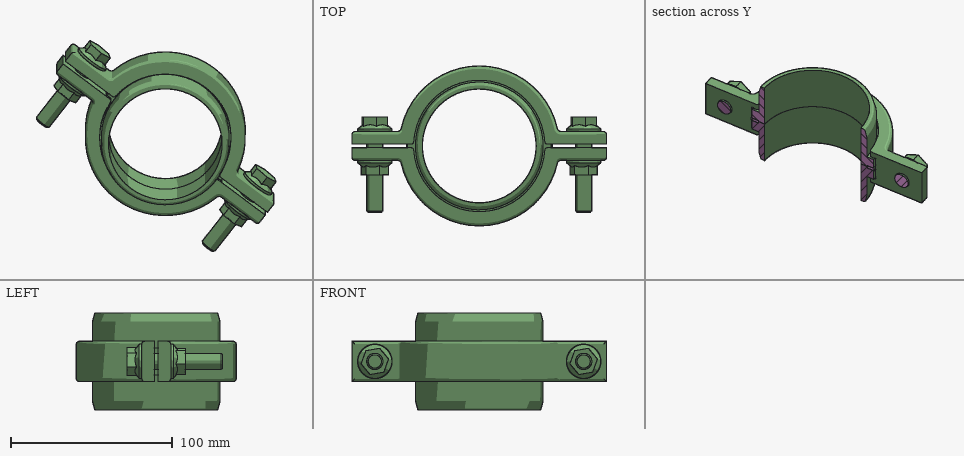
import cadquery as cq
import math


pipe_radius = 39.5
bore_radius = 35.0
stub_length = 30.0
taper_length = 5.5
taper_angle = 15
end_round = 1.1
flange_radius = 44.3
flange_thickness = 8.3

seal_radius = 45.1
seal_thickness = 2.5
seal_rim_round = 0.8

clamp_length = 157.3
clamp_diameter = 98.9
clamp_height = 25.0
clamp_bore_radius = 40.5
clamp_edge_round = 2.0
half_gap = 1.1
ear_thickness = 7.9
ear_corner_radius = 2.4
lip_round = 1.5

bolt_x = 64.5
shank_radius = 5.0
shank_end = 41.0
shank_chamfer = 1.0
hex_flats = 15.0
hex_end = 18.0
head_turn = 23
nut_turn = 10
collar_base_radius = 10.4
collar_rim_radius = 10.7
collar_rim_rise = 1.0
collar_cone_radius = 10.5
collar_cone_rise = 1.5
collar_cone_angle = 40

clamp_radius = clamp_diameter / 2
ear_outer_y = half_gap + ear_thickness
hex_corner_diameter = hex_flats / math.cos(math.radians(30))
hex_inner_radius = hex_flats / 2


def make_seal():
    """Flat ring with a rounded rim, centred on the joint between the stubs."""
    disc = cq.Workplane("XY").circle(seal_radius).extrude(seal_thickness / 2, both=True)
    hole = cq.Workplane("XY").circle(pipe_radius).extrude(seal_thickness, both=True)
    return disc.faces("|Z").edges().fillet(seal_rim_round).cut(hole)


def make_upper_stub(seal):
    """Pipe end with a flange at z = 0 and a tapered, rounded mouth at the top."""
    mouth_radius = pipe_radius - taper_length * math.tan(math.radians(taper_angle))
    blank = (
        cq.Workplane("XZ")
        .moveTo(0, 0)
        .lineTo(flange_radius, 0)
        .lineTo(flange_radius, flange_thickness)
        .lineTo(pipe_radius, flange_thickness)
        .lineTo(pipe_radius, stub_length - taper_length)
        .lineTo(mouth_radius, stub_length)
        .lineTo(0, stub_length)
        .close()
        .revolve(360, (0, 0), (0, 1))
        .faces(">Z")
        .edges()
        .fillet(end_round)
    )
    bore = cq.Workplane("XY").circle(bore_radius).extrude(stub_length)
    return blank.cut(bore).cut(seal)


def make_clamp_blank():
    """Solid half disc with two ears, its outer edges rounded, on the +Y side."""
    ear_end = clamp_length / 2
    corner_y = ear_outer_y + ear_corner_radius
    corner_distance = clamp_radius + ear_corner_radius
    corner_x = math.sqrt(corner_distance**2 - corner_y**2)
    tangent_x = corner_x * clamp_radius / corner_distance
    tangent_y = corner_y * clamp_radius / corner_distance
    half_turn = (math.atan2(corner_y, corner_x) + math.pi / 2) / 2
    middle_x = corner_x - ear_corner_radius * math.cos(half_turn)
    middle_y = corner_y - ear_corner_radius * math.sin(half_turn)
    blank = (
        cq.Workplane("XY")
        .workplane(offset=-clamp_height / 2)
        .moveTo(-ear_end, half_gap)
        .lineTo(ear_end, half_gap)
        .lineTo(ear_end, ear_outer_y)
        .lineTo(corner_x, ear_outer_y)
        .threePointArc((middle_x, middle_y), (tangent_x, tangent_y))
        .threePointArc((0, clamp_radius), (-tangent_x, tangent_y))
        .threePointArc((-middle_x, middle_y), (-corner_x, ear_outer_y))
        .lineTo(-ear_end, ear_outer_y)
        .close()
        .extrude(clamp_height)
    )
    outer_side_start = ear_outer_y - ear_thickness / 4
    outer_side = cq.selectors.BoxSelector(
        (-clamp_length, outer_side_start, -clamp_height),
        (clamp_length, clamp_length, clamp_height),
    )
    rim_edges = blank.faces(">Z or <Z").edges(outer_side)
    end_edges = blank.faces(">X or <X").edges("|Z").edges(outer_side)
    return blank.newObject(rim_edges.vals() + end_edges.vals()).fillet(clamp_edge_round)


def make_back_clamp():
    """Clamp half on the +Y side, with its bore, flange groove and bolt holes."""
    bore = cq.Workplane("XY").circle(clamp_bore_radius).extrude(clamp_height / 2, both=True)
    lips = cq.selectors.BoxSelector(
        (-clamp_radius, 0, -clamp_height),
        (clamp_radius, ear_outer_y / 2, clamp_height),
    )
    groove = cq.Workplane("XY").circle(seal_radius).extrude(flange_thickness, both=True)
    holes = (
        cq.Workplane("XZ")
        .pushPoints([(-bolt_x, 0), (bolt_x, 0)])
        .circle(shank_radius)
        .extrude(clamp_radius, both=True)
    )
    bored = make_clamp_blank().cut(bore)
    rounded = bored.edges("|Z").edges(lips).fillet(lip_round)
    return rounded.cut(groove).cut(holes)


def make_flanged_hex(turn):
    """Hexagon on a conical collar about the Z axis, from the ear face up to the hexagon end."""
    cone_start = ear_outer_y + collar_cone_rise
    cone_drop = collar_cone_radius - hex_inner_radius
    cone_end = cone_start + cone_drop * math.tan(math.radians(collar_cone_angle))
    collar = (
        cq.Workplane("XZ")
        .moveTo(0, ear_outer_y)
        .lineTo(collar_base_radius, ear_outer_y)
        .threePointArc(
            (collar_rim_radius, ear_outer_y + collar_rim_rise), (collar_cone_radius, cone_start)
        )
        .lineTo(hex_inner_radius, cone_end)
        .lineTo(0, cone_end)
        .close()
        .revolve(360, (0, 0), (0, 1))
    )
    hexagon = (
        cq.Workplane("XY")
        .workplane(offset=ear_outer_y)
        .polygon(6, hex_corner_diameter)
        .extrude(hex_end - ear_outer_y)
        .rotate((0, 0, 0), (0, 0, 1), turn)
    )
    return collar.union(hexagon)


def make_bolt(x):
    """Bolt whose head rests on the back ear and whose shank points toward -Y."""
    shank = (
        cq.Workplane("XY")
        .workplane(offset=-shank_end)
        .circle(shank_radius)
        .extrude(shank_end + hex_end)
        .faces("<Z")
        .chamfer(shank_chamfer)
    )
    upright = make_flanged_hex(-head_turn).union(shank)
    return upright.rotate((0, 0, 0), (1, 0, 0), -90).translate((x, 0, 0))


def make_nut(x):
    """Flanged nut resting on the front ear."""
    hole = cq.Workplane("XY").circle(shank_radius).extrude(hex_end)
    upright = make_flanged_hex(nut_turn).cut(hole)
    return upright.rotate((0, 0, 0), (1, 0, 0), 90).translate((x, 0, 0))


seal = make_seal()
upper_stub = make_upper_stub(seal)
lower_stub = upper_stub.mirror("XY")
back_clamp = make_back_clamp()
front_clamp = back_clamp.mirror("XZ")
bolts = [make_bolt(x).val() for x in (-bolt_x, bolt_x)]
nuts = [make_nut(x).val() for x in (-bolt_x, bolt_x)]

result = cq.Compound.makeCompound(
    [
        seal.val(),
        upper_stub.val(),
        lower_stub.val(),
        back_clamp.val(),
        front_clamp.val(),
        *bolts,
        *nuts,
    ]
)